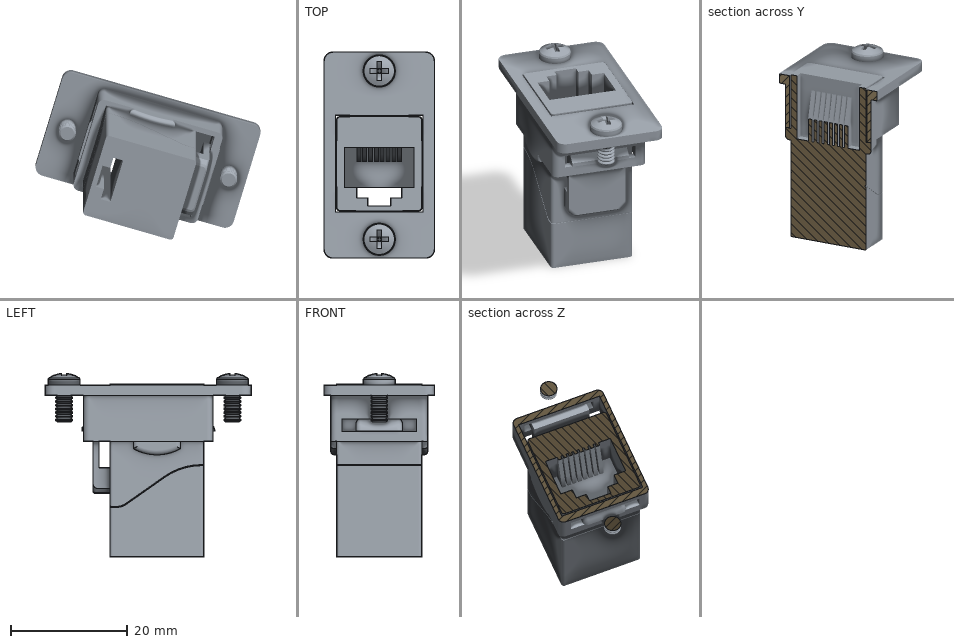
import cadquery as cq


PLATE_WIDTH = 19.05
PLATE_LENGTH = 35.55
PLATE_THICKNESS = 1.78
PLATE_CORNER_RADIUS = 1.55
FRAME_WIDTH = 16.8
FRAME_LENGTH = 22.33
FRAME_CORNER_RADIUS = 1.03
FRAME_BOTTOM_Z = -9.7
OPENING_WIDTH = 15.0
OPENING_BACK_Y = 6.85
CAVITY_LENGTH = 19.55
SLOT_WIDTH = 12.8
SLOT_TOP_Z = -5.8
SLOT_BOTTOM_Z = -7.95

JACK_WIDTH = 14.72
JACK_FRONT_Y = -9.6
JACK_BACK_Y = 6.6
JACK_CORNER_RADIUS = 0.55
JACK_TOP_Z = 0.2
JACK_BOTTOM_Z = -29.6
JACK_CENTER_Y = (JACK_BACK_Y + JACK_FRONT_Y) / 2

PORT_WIDTH = 12.02
PORT_BACK_Y = 1.28
PORT_FRONT_Y = -5.62
PORT_FLOOR_Z = -11.38
TAB_SLOT_WIDTH = 7.68
TAB_SLOT_FRONT_Y = -7.35
KEYWAY_WIDTH = 3.9
KEYWAY_FRONT_Y = -8.75
CONTACT_COUNT = 8
CONTACT_ROW_WIDTH = 7.75
CONTACT_WIDTH = 0.7
CONTACT_PITCH = (CONTACT_ROW_WIDTH - CONTACT_WIDTH) / (CONTACT_COUNT - 1)
CONTACT_TOP_Z = -2.55
CONTACT_REACH = 2.4

GROOVE_WIDTH = 0.18
GROOVE_DEPTH = 0.1
GROOVE_BACK_Z = -20.98
GROOVE_FRONT_Z = -13.8
GROOVE_FLAT_END_Y = 5.4
GROOVE_SLOPE_START = (3.77, -20.52)
GROOVE_SLOPE_END = (-2.88, -15.85)

STOP_LENGTH = 8.1
STOP_SIDE_BOTTOM_Z = -10.95
STOP_BOTTOM_Z = -12.02
STOP_EDGE_RADIUS = 0.75
STOP_ROOT_DEPTH = 0.35

CATCH_WIDTH = 8.05
CATCH_BOTTOM_Z = -7.93
CATCH_TIP_Y = -11.52
CATCH_TOP_Y = -9.78
CATCH_ROOT_DEPTH = 0.8
CATCH_MIDDLE = (-11.1, -6.9)
CATCH_CORNER_RADIUS = 0.9

LATCH_WIDTH = 10.25
LATCH_INNER_Y = 8.45
LATCH_OUTER_Y = 9.53
LATCH_FOOT_TOP_Z = -14.22
LATCH_BOTTOM_Z = -18.67
LATCH_FOOT_SIDE_CHAMFER = 0.9
LATCH_FOOT_CORNER_RADIUS = 0.68
LATCH_FOOT_BACK_CHAMFER = 0.25
TOOTH_TIP_Y = 11.4
TOOTH_TIP_Z = -7.3

SCREW_OFFSET_Y = 14.5
HEAD_RADIUS = 2.77
HEAD_SIDE_HEIGHT = 0.95
HEAD_SHOULDER_RADIUS = 2.63
HEAD_SHOULDER_HEIGHT = 1.25
HEAD_HEIGHT = 2.05
THREAD_RADIUS = 1.45
THREAD_ROOT_RADIUS = 1.17
THREAD_CREST_WIDTH = 0.15
THREAD_PITCH = 0.65
THREAD_COUNT = 7
THREAD_START_Z = -1.85
RECESS_LENGTH = 3.25
RECESS_ARM_WIDTH = 0.85
RECESS_BOTTOM_SIZE = 0.32
RECESS_BOTTOM_Z = 0.55
RECESS_RIM_Z = 1.75


def block(width, y_min, y_max, z_min, z_max):
    """Box centred on X, between the given Y and Z limits."""
    box = cq.Workplane("XY").box(width, y_max - y_min, z_max - z_min)
    return box.translate((0, (y_min + y_max) / 2, (z_min + z_max) / 2))


def side_prism(yz_points, width):
    """Polygon in the YZ plane, extruded symmetrically along X."""
    return cq.Workplane("YZ").polyline(yz_points).close().extrude(width / 2, both=True)


def make_panel():
    plate = block(PLATE_WIDTH, -PLATE_LENGTH / 2, PLATE_LENGTH / 2, -PLATE_THICKNESS, 0)
    plate = plate.edges("|Z").fillet(PLATE_CORNER_RADIUS)
    frame = block(FRAME_WIDTH, -FRAME_LENGTH / 2, FRAME_LENGTH / 2, FRAME_BOTTOM_Z, -PLATE_THICKNESS)
    frame = frame.edges("|Z").fillet(FRAME_CORNER_RADIUS)

    cavity_end_y = CAVITY_LENGTH / 2
    cavity = block(OPENING_WIDTH, -cavity_end_y, cavity_end_y, FRAME_BOTTOM_Z, -PLATE_THICKNESS)
    opening = block(OPENING_WIDTH, -cavity_end_y, OPENING_BACK_Y, -PLATE_THICKNESS, 0)
    catch_slots = block(SLOT_WIDTH, -FRAME_LENGTH / 2, FRAME_LENGTH / 2, SLOT_BOTTOM_Z, SLOT_TOP_Z)
    screw_holes = (
        cq.Workplane("XY")
        .pushPoints([(0, -SCREW_OFFSET_Y), (0, SCREW_OFFSET_Y)])
        .circle(THREAD_RADIUS)
        .extrude(-PLATE_THICKNESS)
    )
    return plate.union(frame).cut(cavity).cut(opening).cut(catch_slots).cut(screw_holes)


def make_port():
    """Stepped plug opening; the tab slot and keyway run through the whole jack."""
    port = block(PORT_WIDTH, PORT_FRONT_Y, PORT_BACK_Y, PORT_FLOOR_Z, JACK_TOP_Z)
    tab_slot = block(TAB_SLOT_WIDTH, TAB_SLOT_FRONT_Y, PORT_FRONT_Y, JACK_BOTTOM_Z, JACK_TOP_Z)
    keyway = block(KEYWAY_WIDTH, KEYWAY_FRONT_Y, TAB_SLOT_FRONT_Y, JACK_BOTTOM_Z, JACK_TOP_Z)
    return port.union(tab_slot).union(keyway)


def make_contacts():
    """Row of sloping contacts running from the back wall of the port down to its floor."""
    contact = side_prism(
        [
            (PORT_BACK_Y, CONTACT_TOP_Z),
            (PORT_BACK_Y, PORT_FLOOR_Z),
            (PORT_BACK_Y - CONTACT_REACH, PORT_FLOOR_Z),
        ],
        CONTACT_WIDTH,
    )
    first_x = (CONTACT_WIDTH - CONTACT_ROW_WIDTH) / 2
    return [contact.translate((first_x + i * CONTACT_PITCH, 0, 0)) for i in range(CONTACT_COUNT)]


def make_groove():
    """Shallow band around the jack that drops along an S-curve from front to back."""
    region_above_curve = (
        cq.Workplane("YZ")
        .moveTo(JACK_BACK_Y, GROOVE_BACK_Z - GROOVE_WIDTH / 2)
        .lineTo(GROOVE_FLAT_END_Y, GROOVE_BACK_Z - GROOVE_WIDTH / 2)
        .tangentArcPoint(GROOVE_SLOPE_START, relative=False)
        .lineTo(*GROOVE_SLOPE_END)
        .tangentArcPoint((JACK_FRONT_Y, GROOVE_FRONT_Z - GROOVE_WIDTH / 2), relative=False)
        .lineTo(JACK_FRONT_Y, JACK_TOP_Z)
        .lineTo(JACK_BACK_Y, JACK_TOP_Z)
        .close()
        .extrude(JACK_WIDTH / 2, both=True)
    )
    band = region_above_curve.cut(region_above_curve.translate((0, 0, GROOVE_WIDTH)))
    core = block(
        JACK_WIDTH - 2 * GROOVE_DEPTH,
        JACK_FRONT_Y + GROOVE_DEPTH,
        JACK_BACK_Y - GROOVE_DEPTH,
        JACK_BOTTOM_Z,
        JACK_TOP_Z,
    ).edges("|Z").fillet(JACK_CORNER_RADIUS - GROOVE_DEPTH)
    return band.cut(core)


def make_stops():
    """Pair of rounded stops that the lower rim of the frame rests on."""
    start_y = JACK_CENTER_Y - STOP_LENGTH / 2
    end_y = JACK_CENTER_Y + STOP_LENGTH / 2
    stop = (
        cq.Workplane("YZ", origin=(JACK_WIDTH / 2 - STOP_ROOT_DEPTH, 0, 0))
        .moveTo(start_y, FRAME_BOTTOM_Z)
        .lineTo(start_y, STOP_SIDE_BOTTOM_Z)
        .threePointArc((JACK_CENTER_Y, STOP_BOTTOM_Z), (end_y, STOP_SIDE_BOTTOM_Z))
        .lineTo(end_y, FRAME_BOTTOM_Z)
        .close()
        .extrude((FRAME_WIDTH - JACK_WIDTH) / 2 + STOP_ROOT_DEPTH)
    )
    stop = stop.faces(">X").edges("not >Z").fillet(STOP_EDGE_RADIUS)
    return stop, stop.mirror("YZ")


def make_catch():
    """Fixed front catch: curved on top, flat below, rounded at its outer corners."""
    root_y = JACK_FRONT_Y + CATCH_ROOT_DEPTH
    catch = (
        cq.Workplane("YZ")
        .moveTo(root_y, SLOT_TOP_Z)
        .lineTo(CATCH_TOP_Y, SLOT_TOP_Z)
        .threePointArc(CATCH_MIDDLE, (CATCH_TIP_Y, CATCH_BOTTOM_Z))
        .lineTo(root_y, CATCH_BOTTOM_Z)
        .close()
        .extrude(CATCH_WIDTH / 2, both=True)
    )
    curved_corners = catch.edges("%CIRCLE")
    return curved_corners.fillet(CATCH_CORNER_RADIUS)


def make_latch():
    """Spring arm standing on a foot, with a tooth that snaps into the back slot."""
    foot = block(LATCH_WIDTH, JACK_BACK_Y, LATCH_OUTER_Y, LATCH_BOTTOM_Z, LATCH_FOOT_TOP_Z)
    foot = foot.edges("<Z and |Y").chamfer(LATCH_FOOT_SIDE_CHAMFER)
    slanted_back_edges = foot.faces(">Y").edges("not (|X or |Z)")
    foot = slanted_back_edges.fillet(LATCH_FOOT_CORNER_RADIUS)
    foot = foot.edges("<Z and >Y").chamfer(LATCH_FOOT_BACK_CHAMFER)
    arm = block(LATCH_WIDTH, LATCH_INNER_Y, LATCH_OUTER_Y, LATCH_FOOT_TOP_Z, SLOT_TOP_Z)
    tooth = side_prism(
        [
            (LATCH_OUTER_Y, SLOT_TOP_Z),
            (TOOTH_TIP_Y, TOOTH_TIP_Z),
            (TOOTH_TIP_Y, CATCH_BOTTOM_Z),
            (LATCH_OUTER_Y, CATCH_BOTTOM_Z),
        ],
        LATCH_WIDTH,
    )
    return foot.union(arm).union(tooth)


def make_jack():
    jack = block(JACK_WIDTH, JACK_FRONT_Y, JACK_BACK_Y, JACK_BOTTOM_Z, JACK_TOP_Z)
    jack = jack.edges("|Z").fillet(JACK_CORNER_RADIUS)
    jack = jack.cut(make_groove()).cut(make_port())
    for contact in make_contacts():
        jack = jack.union(contact)
    for stop in make_stops():
        jack = jack.union(stop)
    return jack.union(make_catch()).union(make_latch())


def make_shank():
    """Plain shank through the plate, then a stack of thread ridges below it."""
    flank = (THREAD_PITCH - THREAD_CREST_WIDTH) / 2
    profile = (
        cq.Workplane("XZ")
        .moveTo(0, 0)
        .lineTo(THREAD_RADIUS, 0)
        .lineTo(THREAD_RADIUS, -PLATE_THICKNESS)
        .lineTo(THREAD_ROOT_RADIUS, -PLATE_THICKNESS)
    )
    for i in range(THREAD_COUNT):
        top = THREAD_START_Z - i * THREAD_PITCH
        profile = (
            profile.lineTo(THREAD_ROOT_RADIUS, top)
            .lineTo(THREAD_RADIUS, top - flank)
            .lineTo(THREAD_RADIUS, top - flank - THREAD_CREST_WIDTH)
        )
    shank_end = THREAD_START_Z - THREAD_COUNT * THREAD_PITCH
    profile = profile.lineTo(THREAD_ROOT_RADIUS, shank_end).lineTo(0, shank_end).close()
    return profile.revolve(360, (0, 0, 0), (0, 1, 0))


def make_head():
    """Domed head; the dome is a spherical cap that starts at the shoulder."""
    cap_height = HEAD_HEIGHT - HEAD_SHOULDER_HEIGHT
    dome_radius = (HEAD_SHOULDER_RADIUS**2 + cap_height**2) / (2 * cap_height)
    mid_radius = HEAD_SHOULDER_RADIUS / 2
    mid_height = HEAD_HEIGHT - dome_radius + (dome_radius**2 - mid_radius**2) ** 0.5
    return (
        cq.Workplane("XZ")
        .moveTo(0, 0)
        .lineTo(HEAD_RADIUS, 0)
        .lineTo(HEAD_RADIUS, HEAD_SIDE_HEIGHT)
        .lineTo(HEAD_SHOULDER_RADIUS, HEAD_SHOULDER_HEIGHT)
        .threePointArc((mid_radius, mid_height), (0, HEAD_HEIGHT))
        .close()
        .revolve(360, (0, 0, 0), (0, 1, 0))
    )


def make_cross_recess():
    """Two crossing arms with floors that slope down to a small flat at the centre."""
    arm = side_prism(
        [
            (-RECESS_LENGTH / 2, HEAD_HEIGHT),
            (-RECESS_LENGTH / 2, RECESS_RIM_Z),
            (-RECESS_BOTTOM_SIZE / 2, RECESS_BOTTOM_Z),
            (RECESS_BOTTOM_SIZE / 2, RECESS_BOTTOM_Z),
            (RECESS_LENGTH / 2, RECESS_RIM_Z),
            (RECESS_LENGTH / 2, HEAD_HEIGHT),
        ],
        RECESS_ARM_WIDTH,
    )
    return arm.union(arm.rotate((0, 0, 0), (0, 0, 1), 90))


def make_screw(y):
    screw = make_shank().union(make_head()).cut(make_cross_recess())
    return screw.translate((0, y, 0))


panel = make_panel()
jack = make_jack()
screws = [make_screw(y) for y in (-SCREW_OFFSET_Y, SCREW_OFFSET_Y)]

result = cq.Compound.makeCompound([panel.val(), jack.val(), *[screw.val() for screw in screws]])